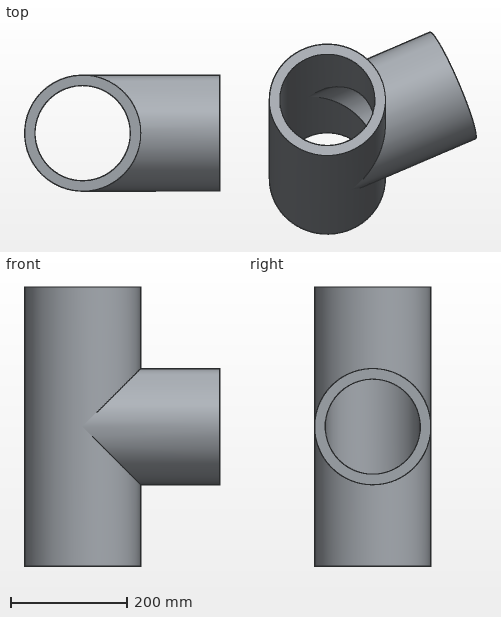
import cadquery as cq

run_length = 481.0
outer_diameter = 200.0
wall = 18.5
branch_reach = 236.0

outer_radius = outer_diameter / 2
bore_radius = outer_radius - wall


def tee_solid(radius):
    """Crossing cylinders of one radius, centred where their axes meet."""
    run = cq.Workplane("XY").circle(radius).extrude(run_length / 2, both=True)
    branch = cq.Workplane("YZ").circle(radius).extrude(branch_reach)
    return run.union(branch)


result = tee_solid(outer_radius).cut(tee_solid(bore_radius))